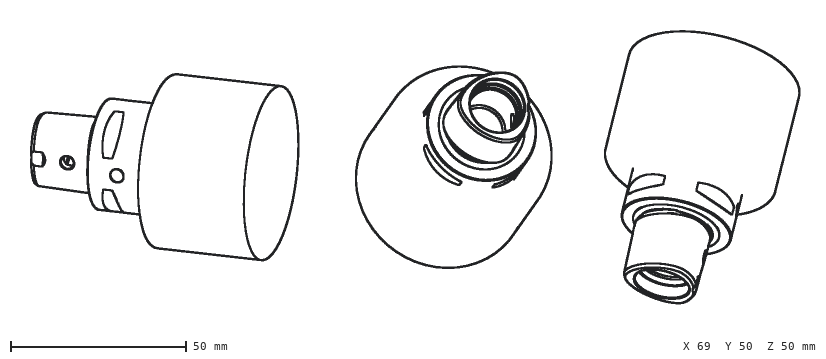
import cadquery as cq
import math


shank_length = 19.0
body_length = 50.0
body_radius = 25.0
flange_radius = 16.0
flange_edge_chamfer = 0.25
shoulder_angle = 15.0
shoulder_blend_radius = 1.0
shoulder_end_x = 18.25

neck_radius = 10.8
face_groove_radius = 12.6

polygon_mean_radius = 11.0
polygon_eccentricity = 0.7
polygon_taper = 1 / 40
polygon_end_x = -1.7
nose_chamfer_length = 1.0
nose_chamfer_depth = 0.55
lobe_count = 3
lobe_half_angle = 27.5
points_per_stretch = 13

neck_inset = 0.08
neck_step_length = 0.25
neck_polygon_end_x = -0.4
neck_cone_end_x = -0.6
neck_cone_angle = 45.0

bore_mouth_radius = 8.2
bore_mouth_chamfer = 0.25
bore_seat_depth = 2.3
bore_undercut_radius = 8.25
bore_undercut_depth = 4.2
bore_collar_radius = 7.7
bore_collar_depth = 5.2
bore_lead_radius = 7.55
bore_lead_depth = 6.0
bore_main_radius = 7.15
bore_main_start_depth = 6.6
bore_main_depth = 20.0
bore_seat_ring_radius = 6.3
bore_drill_radius = 5.1
drill_half_angle = 59.0

notch_radius = 3.2
notch_floor_y = -8.95
notch_length = 3.5

wall_hole_radius = 1.9
wall_hole_chamfer = 0.25
wall_hole_x = -7.9

dimple_radius = 2.0
dimple_depth = 0.4
dimple_x = 8.95

slot_count = 4
first_slot_angle = 45.0
slot_floor_distance = 14.2
slot_floor_width = 2.7
slot_floor_fillet = 0.3
slot_wall_slope = 0.55
slot_x = 6.0


inward = cq.Vector(0, 1, 0)
along_axis = cq.Vector(1, 0, 0)


def cone_run(radius, half_angle):
    """Axial length of a cone that closes from the given radius to a point."""
    return radius / math.tan(math.radians(half_angle))


def revolve_about_x(profile):
    return profile.close().revolve(360, (0, 0, 0), (1, 0, 0))


def body():
    """Neck collar, grooved flange, shoulder and cylindrical body."""
    groove_half_width = (face_groove_radius - neck_radius) / 2
    shoulder_foot_x = shoulder_end_x - (body_radius - flange_radius) * math.tan(math.radians(shoulder_angle))
    plain = revolve_about_x(
        cq.Workplane("XZ")
        .moveTo(neck_polygon_end_x, 0)
        .lineTo(neck_polygon_end_x, neck_radius)
        .lineTo(0, neck_radius)
        .threePointArc((groove_half_width, neck_radius + groove_half_width), (0, face_groove_radius))
        .lineTo(0, flange_radius - flange_edge_chamfer)
        .lineTo(flange_edge_chamfer, flange_radius)
        .lineTo(shoulder_foot_x, flange_radius)
        .lineTo(shoulder_end_x, body_radius)
        .lineTo(body_length, body_radius)
        .lineTo(body_length, 0)
    )
    corners = cq.selectors.BoxSelector(
        (shoulder_foot_x - shoulder_blend_radius, -2 * body_radius, -2 * body_radius),
        (shoulder_end_x + shoulder_blend_radius, 2 * body_radius, 2 * body_radius),
    )
    return plain.edges("%CIRCLE").edges(corners).fillet(shoulder_blend_radius)


def polygon_point(x, mean_radius, angle):
    """Point of the trochoid whose outward normal lies at the given angle from +Y."""
    y = mean_radius * math.cos(angle) + polygon_eccentricity * (2 * math.cos(2 * angle) - math.cos(4 * angle))
    z = mean_radius * math.sin(angle) - polygon_eccentricity * (2 * math.sin(2 * angle) + math.sin(4 * angle))
    return cq.Vector(x, y, z)


def polygon_wire(x, mean_radius):
    """Closed trochoid in a YZ plane, made of three lobes and three flatter sides."""
    edges = []
    lobe_pitch = 360 / lobe_count
    for lobe in range(lobe_count):
        lobe_angle = lobe_pitch * lobe
        breaks = [
            lobe_angle - lobe_half_angle,
            lobe_angle + lobe_half_angle,
            lobe_angle + lobe_pitch - lobe_half_angle,
        ]
        for start, end in zip(breaks, breaks[1:]):
            angles = [
                math.radians(start + (end - start) * step / (points_per_stretch - 1))
                for step in range(points_per_stretch)
            ]
            points = [polygon_point(x, mean_radius, angle) for angle in angles]
            tangents = [
                cq.Vector(0, -math.sin(angle), math.cos(angle)) for angle in (angles[0], angles[-1])
            ]
            edges.append(cq.Edge.makeSpline(points, tangents=tangents))
    return cq.Wire.assembleEdges(edges)


def polygon_frustum(start_x, start_radius, end_x, end_radius):
    """Ruled solid between two trochoids of the given mean radii."""
    wires = [polygon_wire(start_x, start_radius), polygon_wire(end_x, end_radius)]
    return cq.Workplane(obj=cq.Solid.makeLoft(wires, True))


def shank():
    """Chamfered nose and tapered polygon."""
    nose_x = -shank_length
    taper_start_x = nose_x + nose_chamfer_length
    taper_start_radius = polygon_mean_radius - (polygon_end_x - taper_start_x) * polygon_taper
    nose = polygon_frustum(nose_x, taper_start_radius - nose_chamfer_depth, taper_start_x, taper_start_radius)
    taper = polygon_frustum(taper_start_x, taper_start_radius, polygon_end_x, polygon_mean_radius)
    return nose.union(taper)


def neck():
    """Polygon stretch behind the shank, its lobes coned down to the round collar."""
    step_end_x = polygon_end_x + neck_step_length
    inset_radius = polygon_mean_radius - neck_inset
    step = polygon_frustum(polygon_end_x, polygon_mean_radius, step_end_x, inset_radius)
    straight = polygon_frustum(step_end_x, inset_radius, neck_polygon_end_x, inset_radius)
    cone_length = neck_cone_end_x - polygon_end_x
    cone_start_radius = neck_radius + cone_length * math.tan(math.radians(neck_cone_angle))
    envelope = revolve_about_x(
        cq.Workplane("XZ")
        .moveTo(polygon_end_x, 0)
        .lineTo(polygon_end_x, cone_start_radius)
        .lineTo(neck_cone_end_x, neck_radius)
        .lineTo(neck_polygon_end_x, neck_radius)
        .lineTo(neck_polygon_end_x, 0)
    )
    return step.union(straight).intersect(envelope)


def bore():
    """Stepped blind bore from the shank end, with a flared undercut near its mouth."""
    nose_x = -shank_length
    seat_radius = bore_mouth_radius - bore_mouth_chamfer
    main_end_x = nose_x + bore_main_depth
    drill_start_x = main_end_x + bore_seat_ring_radius - bore_drill_radius
    return revolve_about_x(
        cq.Workplane("XZ")
        .moveTo(nose_x, 0)
        .lineTo(nose_x, bore_mouth_radius)
        .lineTo(nose_x + bore_mouth_chamfer, seat_radius)
        .lineTo(nose_x + bore_seat_depth, seat_radius)
        .lineTo(nose_x + bore_undercut_depth, bore_undercut_radius)
        .lineTo(nose_x + bore_undercut_depth, bore_collar_radius)
        .lineTo(nose_x + bore_collar_depth, bore_collar_radius)
        .lineTo(nose_x + bore_lead_depth, bore_lead_radius)
        .lineTo(nose_x + bore_main_start_depth, bore_main_radius)
        .lineTo(main_end_x, bore_main_radius)
        .lineTo(main_end_x, bore_seat_ring_radius)
        .lineTo(drill_start_x, bore_drill_radius)
        .lineTo(drill_start_x + cone_run(bore_drill_radius, drill_half_angle), 0)
    )


def nose_notch():
    """Axial round trough with a 45 degree conical end."""
    trough_y = notch_floor_y - notch_radius
    start = cq.Vector(-shank_length, trough_y, 0)
    trough = cq.Solid.makeCylinder(notch_radius, notch_length, start, along_axis)
    end = cq.Solid.makeCone(notch_radius, 0, notch_radius, start + along_axis * notch_length, along_axis)
    return cq.Workplane(obj=trough.fuse(end))


def wall_hole():
    """Hole from the shank side into the bore; its 45 degree rim cone starts clear of the surface."""
    side_y = -(polygon_mean_radius - polygon_eccentricity + (wall_hole_x - polygon_end_x) * polygon_taper)
    rim_start_y = side_y - wall_hole_chamfer
    rim_depth = 2 * wall_hole_chamfer
    start = cq.Vector(wall_hole_x, rim_start_y, 0)
    hole = cq.Solid.makeCylinder(wall_hole_radius, -rim_start_y, start, inward)
    rim = cq.Solid.makeCone(wall_hole_radius + rim_depth, wall_hole_radius, rim_depth, start, inward)
    return cq.Workplane(obj=hole.fuse(rim))


def flange_dimple():
    """Shallow drilled hole with a conical bottom."""
    start = cq.Vector(dimple_x, -flange_radius, 0)
    hole = cq.Solid.makeCylinder(dimple_radius, dimple_depth, start, inward)
    tip_length = cone_run(dimple_radius, drill_half_angle)
    tip = cq.Solid.makeCone(dimple_radius, 0, tip_length, start + inward * dimple_depth, inward)
    return cq.Workplane(obj=hole.fuse(tip))


def gripper_slot(angle):
    """Straight slot with sloping walls, cut across the flange at the given angle about X."""
    floor_half = slot_floor_width / 2
    top_half = floor_half + slot_wall_slope * (flange_radius - slot_floor_distance)
    return (
        cq.Workplane("XZ")
        .moveTo(slot_x - floor_half, slot_floor_distance)
        .lineTo(slot_x + floor_half, slot_floor_distance)
        .lineTo(slot_x + top_half, flange_radius)
        .lineTo(slot_x - top_half, flange_radius)
        .close()
        .extrude(flange_radius, both=True)
        .edges("<Z and |Y")
        .fillet(slot_floor_fillet)
        .rotate((0, 0, 0), (1, 0, 0), angle)
    )


part = body().union(neck()).union(shank())
part = part.cut(bore()).cut(nose_notch()).cut(wall_hole()).cut(flange_dimple())
for slot in range(slot_count):
    part = part.cut(gripper_slot(first_slot_angle + 360 / slot_count * slot))

result = part